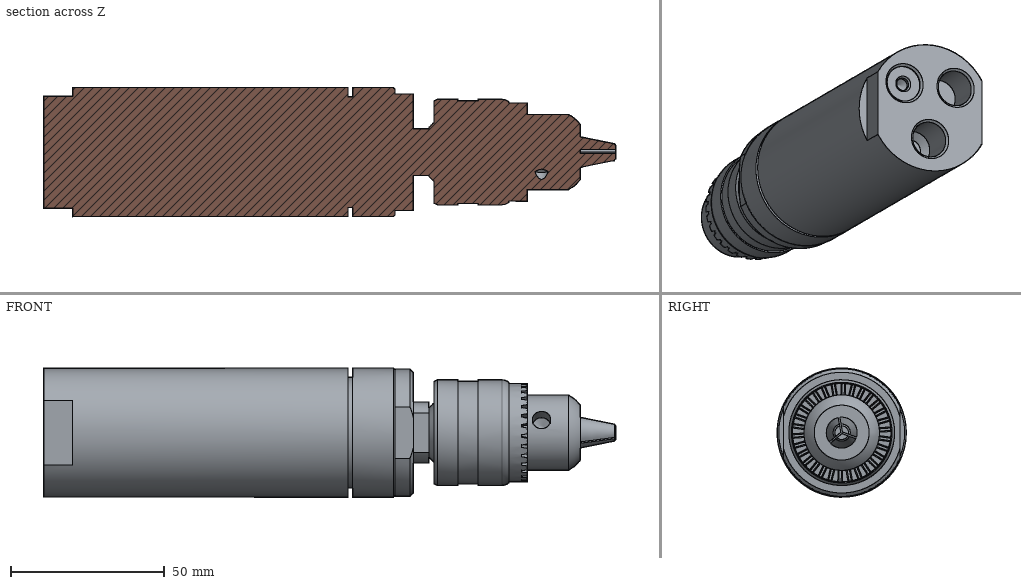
import cadquery as cq

LENGTH = 186.0

BODY_R = 42.0 / 2
CAP_FLAT_LENGTH = 9.5
CAP_FLAT_WIDTH = 36.5
GROOVE_START = 99.0
GROOVE_WIDTH = 1.5
GROOVE_R = 36.0 / 2
COLLAR_END = 113.6
COLLAR_CHAMFER = 0.5

NUT_START = COLLAR_END + COLLAR_CHAMFER
NUT_END = 120.2
NUT_R = 41.5 / 2
NUT_CHAMFER = 1.1
NUT_FLAT_WIDTH = 38.0

SPINDLE_END = 125.2
SPINDLE_R = 19.9 / 2
SPINDLE_FLAT_WIDTH = 15.3

CHUCK_START = 126.9
CHUCK_CONE_R1 = 16.0 / 2
CHUCK_CONE_R2 = 19.3 / 2
SLEEVE_R = 34.5 / 2
SLEEVE_CHAMFER_LENGTH = 1.1
SLEEVE_CHAMFER_DEPTH = 0.5
WAIST_R = 33.5 / 2
WAIST_START = 134.7
WAIST_END = 141.2
SHOULDER_START = 149.0
SHOULDER_MID = (150.3, 17.0)
SHOULDER_END = 151.2
SHOULDER_END_R = 16.4
TOOTH_RING_R = 32.0 / 2
TOOTH_RING_END = 157.2
NOSE_R = 24.5 / 2
NOSE_TAPER_START = 170.5
NOSE_TAPER_MID = (172.8, 10.8)
NOSE_END = 174.5
NOSE_END_R = 9.0

TOOTH_COUNT = 30
NOTCH_DEPTH = 1.9
NOTCH_ROOT_WIDTH = 0.7
NOTCH_MOUTH_WIDTH = 1.5

JAW_COUNT = 3
KEY_HOLE_ANGLE = 40.0
KEY_HOLE_X = 161.8
KEY_HOLE_D = 6.0
KEY_HOLE_FLOOR_R = 6.0
KEY_HOLE_POINT_LENGTH = 1.9
JAW_BASE_R = 5.0
JAW_TIP_R = 2.8
JAW_TIP_CHAMFER = 0.5
JAW_GAP = 0.5

PORT_D = 11.5
PORT_RIM_D = 13.0
PORT_DEPTH = 14.9
INLET_Y = 9.0
INLET_Z = 7.5
EXHAUST_Z = -10.5
EXHAUST_FLOOR_D = 6.7
EXHAUST_CONE_LENGTH = 2.0
PLUG_RECESS = 1.1
PLUG_HOLE_D = 4.0
PLUG_HOLE_RIM_D = 5.2
PLUG_HOLE_DEPTH = 1.9


def revolve_about_x(outline):
    """Turn a closed outline in (x, radius) around the tool axis."""
    return outline.close().revolve(360, (0, 0, 0), (1, 0, 0))


def rotate_about_x(shape, angle):
    return shape.rotate((0, 0, 0), (1, 0, 0), angle)


def side_flats(x_start, x_end, width):
    """Material outside two flats facing +Y and -Y, over one stretch of X."""
    size = 2 * BODY_R
    length = x_end - x_start
    stretch = cq.Workplane("XY").box(length, 2 * size, size)
    core = cq.Workplane("XY").box(length, width, size)
    return stretch.cut(core).translate(((x_start + x_end) / 2, 0, 0))


def make_body():
    groove_end = GROOVE_START + GROOVE_WIDTH
    outline = (
        cq.Workplane("XY")
        .lineTo(0, BODY_R)
        .lineTo(GROOVE_START, BODY_R)
        .lineTo(GROOVE_START, GROOVE_R)
        .lineTo(groove_end, GROOVE_R)
        .lineTo(groove_end, BODY_R)
        .lineTo(COLLAR_END, BODY_R)
        .lineTo(NUT_START, BODY_R - COLLAR_CHAMFER)
        .lineTo(NUT_START, 0)
    )
    return revolve_about_x(outline).cut(side_flats(0, CAP_FLAT_LENGTH, CAP_FLAT_WIDTH))


def make_nut():
    outline = (
        cq.Workplane("XY")
        .moveTo(NUT_START, 0)
        .lineTo(NUT_START, NUT_R)
        .lineTo(NUT_END - NUT_CHAMFER, NUT_R)
        .lineTo(NUT_END, NUT_R - NUT_CHAMFER)
        .lineTo(NUT_END, 0)
    )
    return revolve_about_x(outline).cut(side_flats(NUT_START, NUT_END, NUT_FLAT_WIDTH))


def make_spindle():
    length = SPINDLE_END - NUT_END
    rod = cq.Workplane("YZ", origin=(NUT_END, 0, 0)).circle(SPINDLE_R).extrude(length)
    return rod.cut(side_flats(NUT_END, SPINDLE_END, SPINDLE_FLAT_WIDTH))


def make_chuck():
    outline = (
        cq.Workplane("XY")
        .moveTo(SPINDLE_END, 0)
        .lineTo(SPINDLE_END, CHUCK_CONE_R1)
        .lineTo(CHUCK_START, CHUCK_CONE_R2)
        .lineTo(CHUCK_START, SLEEVE_R - SLEEVE_CHAMFER_DEPTH)
        .lineTo(CHUCK_START + SLEEVE_CHAMFER_LENGTH, SLEEVE_R)
        .lineTo(WAIST_START, SLEEVE_R)
        .lineTo(WAIST_START, WAIST_R)
        .lineTo(WAIST_END, WAIST_R)
        .lineTo(WAIST_END, SLEEVE_R)
        .lineTo(SHOULDER_START, SLEEVE_R)
        .threePointArc(SHOULDER_MID, (SHOULDER_END, SHOULDER_END_R))
        .lineTo(SHOULDER_END, TOOTH_RING_R)
        .lineTo(TOOTH_RING_END, TOOTH_RING_R)
        .lineTo(TOOTH_RING_END, NOSE_R)
        .lineTo(NOSE_TAPER_START, NOSE_R)
        .threePointArc(NOSE_TAPER_MID, (NOSE_END, NOSE_END_R))
        .lineTo(NOSE_END, 0)
    )
    return revolve_about_x(outline)


def make_tooth_notches():
    """Tapered notches between the key teeth, open to the front of the ring."""
    root_x = TOOTH_RING_END - NOTCH_DEPTH
    height = SLEEVE_R - NOSE_R
    notch = (
        cq.Workplane("XZ", origin=(0, NOSE_R, 0))
        .moveTo(root_x, -NOTCH_ROOT_WIDTH / 2)
        .lineTo(TOOTH_RING_END, -NOTCH_MOUTH_WIDTH / 2)
        .lineTo(TOOTH_RING_END, NOTCH_MOUTH_WIDTH / 2)
        .lineTo(root_x, NOTCH_ROOT_WIDTH / 2)
        .close()
        .extrude(-height)
    )
    notches = cq.Workplane("XY")
    for index in range(TOOTH_COUNT):
        angle = KEY_HOLE_ANGLE + index * 360 / TOOTH_COUNT
        notches = notches.add(rotate_about_x(notch, angle))
    return notches.combine()


def make_key_hole(angle):
    """Radial blind hole, overlong so that it clears the curved nose surface."""
    depth = NOSE_R - KEY_HOLE_FLOOR_R
    hole = (
        cq.Workplane("XZ", origin=(KEY_HOLE_X, KEY_HOLE_FLOOR_R, 0))
        .circle(KEY_HOLE_D / 2)
        .extrude(-2 * depth)
    )
    floor_centre = cq.Vector(KEY_HOLE_X, KEY_HOLE_FLOOR_R, 0)
    inward = cq.Vector(0, -1, 0)
    point = cq.Solid.makeCone(KEY_HOLE_D / 2, 0, KEY_HOLE_POINT_LENGTH, floor_centre, inward)
    return rotate_about_x(hole.union(cq.Workplane(point)), angle)


def make_jaws():
    outline = (
        cq.Workplane("XY")
        .moveTo(NOSE_END, 0)
        .lineTo(NOSE_END, JAW_BASE_R)
        .lineTo(LENGTH - JAW_TIP_CHAMFER, JAW_TIP_R)
        .lineTo(LENGTH, JAW_TIP_R - JAW_TIP_CHAMFER)
        .lineTo(LENGTH, 0)
    )
    jaws = revolve_about_x(outline)
    gap = (
        cq.Workplane("XY", origin=(NOSE_END, 0, 0))
        .box(LENGTH - NOSE_END, JAW_BASE_R, JAW_GAP, centered=(False, False, True))
    )
    step = 360 / JAW_COUNT
    for index in range(JAW_COUNT):
        jaws = jaws.cut(rotate_about_x(gap, KEY_HOLE_ANGLE + (index + 0.5) * step))
    return jaws


def make_port(depth, hole_d, rim_d):
    """Round hole along +X from X = 0 with a 45 degree rim chamfer."""
    rim_depth = (rim_d - hole_d) / 2
    outline = (
        cq.Workplane("XY")
        .lineTo(0, rim_d / 2)
        .lineTo(rim_depth, hole_d / 2)
        .lineTo(depth, hole_d / 2)
        .lineTo(depth, 0)
    )
    return revolve_about_x(outline)


def make_cone(x_start, length, start_d, end_d):
    start = cq.Vector(x_start, 0, 0)
    direction = cq.Vector(1, 0, 0)
    return cq.Workplane(cq.Solid.makeCone(start_d / 2, end_d / 2, length, start, direction))


def make_open_inlet():
    return make_port(PORT_DEPTH, PORT_D, PORT_RIM_D).translate((0, -INLET_Y, INLET_Z))


def make_plugged_inlet():
    """Shallow recess down to the plug face, with a centre-drilled hole in the plug."""
    recess = make_port(PLUG_RECESS, PORT_D, PORT_RIM_D)
    hole = make_port(PLUG_HOLE_DEPTH, PLUG_HOLE_D, PLUG_HOLE_RIM_D)
    point = make_cone(PLUG_HOLE_DEPTH, PLUG_HOLE_D / 2, PLUG_HOLE_D, 0)
    plug_hole = hole.union(point).translate((PLUG_RECESS, 0, 0))
    return recess.union(plug_hole).translate((0, INLET_Y, INLET_Z))


def make_exhaust():
    bore = make_port(PORT_DEPTH, PORT_D, PORT_RIM_D)
    taper = make_cone(PORT_DEPTH, EXHAUST_CONE_LENGTH, PORT_D, EXHAUST_FLOOR_D)
    return bore.union(taper).translate((0, 0, EXHAUST_Z))


result = make_body().union(make_nut()).union(make_spindle())
result = result.union(make_chuck()).union(make_jaws())
result = result.cut(make_tooth_notches())
for hole_index in range(JAW_COUNT):
    result = result.cut(make_key_hole(KEY_HOLE_ANGLE + hole_index * 360 / JAW_COUNT))
result = result.cut(make_open_inlet()).cut(make_plugged_inlet()).cut(make_exhaust())